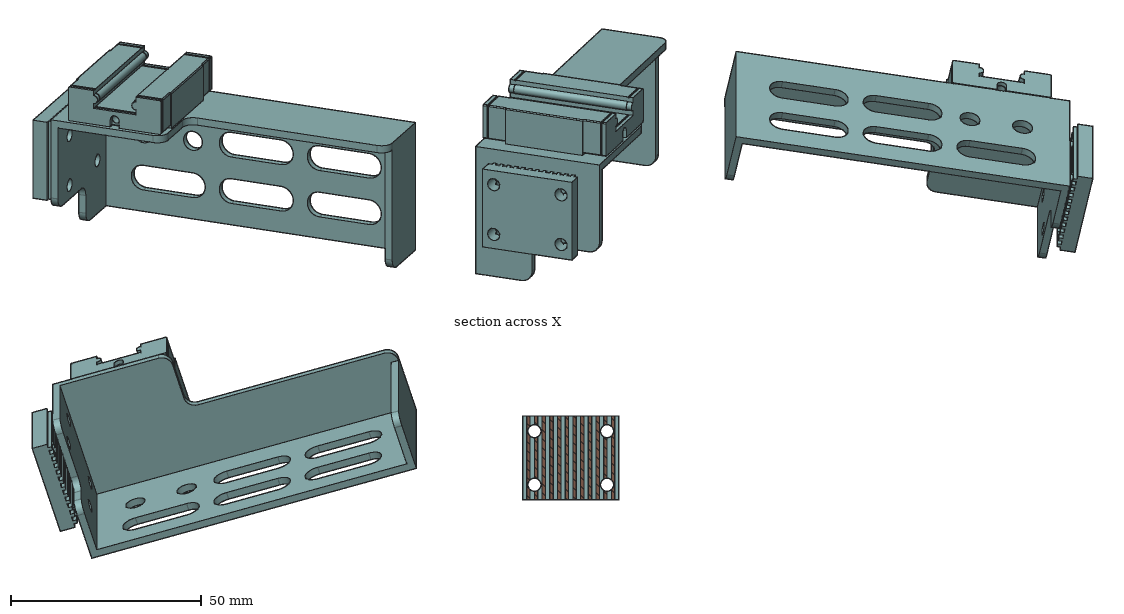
import cadquery as cq


sheet = 2.0
bracket_length = 89.1
bracket_depth = 35.0
bracket_height = 36.0
corner_radius = 3.0
carriage_shelf_length = 32.0
narrow_shelf_depth = 19.0
flange_drop = 25.0
leg_depth = 16.0

slot_length = 21.0
slot_height = 6.9
slot_pitch = 25.0
first_slot_x = 19.6
lower_slot_z = 9.5
upper_slot_z = 22.6
lower_slot_count = 3
upper_slot_count = 2

wall_hole_diameter = 5.3
wall_hole_pitch = 14.0
first_wall_hole_x = 12.6
wall_hole_z = 22.0

clamp_gap = 2.1
clamp_thickness = 4.0
tooth_height = 1.0
tooth_width = 1.0
tooth_pitch = 2.0
tooth_count = 12
clamp_width = 25.2
clamp_height = 22.0
clamp_hole_diameter = 3.4
clamp_hole_pitch_y = 19.0
clamp_hole_pitch_z = 14.0

carriage_x = 18.1
carriage_width = 27.0
carriage_height = 10.0
carriage_length = 34.7
block_length = 21.8
edge_chamfer = 0.3
relief_width = 13.3
relief_depth = 0.3
cap_width = 26.4
cap_ground_gap = 0.5
seal_thickness = 1.2
groove_width = 0.3
groove_depth = 0.2
channel_width = 12.0
channel_depth = 5.0
bead_diameter = 2.5
seal_bead_diameter = 2.3
bead_drop = 2.5
port_width = 2.5
port_hole_diameter = 2.3
port_drop = 7.5

mid_y = bracket_depth / 2
clamp_mid_z = bracket_height - flange_drop + clamp_height / 2
carriage_top = bracket_height + carriage_height


def block(x0, x1, y0, y1, z0, z1):
    """Box between opposite corners."""
    return cq.Workplane("XY").box(x1 - x0, y1 - y0, z1 - z0, centered=False).translate((x0, y0, z0))


def prism_y(x, y0, y1, z, outline):
    """Extrude a closed outline, drawn in XZ around (x, z), from y0 to y1."""
    plane = cq.Plane(origin=(x, y0, z), xDir=(1, 0, 0), normal=(0, -1, 0))
    return outline(cq.Workplane(plane)).extrude(y0 - y1)


def rod_y(x, y0, y1, z, diameter):
    return prism_y(x, y0, y1, z, lambda plane: plane.circle(diameter / 2))


def slot_y(x, y0, y1, z):
    return prism_y(x, y0, y1, z, lambda plane: plane.slot2D(slot_length, slot_height))


def clamp_screw_holes(x0, x1):
    """Four screw holes along X, shared by the clamp plate and the left flange."""
    return (
        cq.Workplane("YZ", origin=(x0, mid_y, clamp_mid_z))
        .rect(clamp_hole_pitch_y, clamp_hole_pitch_z, forConstruction=True)
        .vertices()
        .circle(clamp_hole_diameter / 2)
        .extrude(x1 - x0)
    )


def rounded_corner_sheet(plane, points, rounded_points):
    """Sheet of the given outline with its corners at rounded_points filleted."""
    sheet_body = plane.polyline(points).close().extrude(sheet)
    normal = plane.plane.zDir
    for corner in rounded_points:
        middle = plane.plane.toWorldCoords(corner) + normal * (sheet / 2)
        corner_edge = cq.selectors.NearestToPointSelector(middle.toTuple())
        sheet_body = sheet_body.edges(corner_edge).fillet(corner_radius)
    return sheet_body


def top_sheet():
    narrow_y = bracket_depth - narrow_shelf_depth
    shelf_corner = (carriage_shelf_length, 0)
    step_corner = (carriage_shelf_length, narrow_y)
    end_corner = (bracket_length, narrow_y)
    outline = [(0, 0), shelf_corner, step_corner, end_corner,
               (bracket_length, bracket_depth), (0, bracket_depth)]
    plane = cq.Workplane("XY", origin=(0, 0, bracket_height - sheet))
    return rounded_corner_sheet(plane, outline, [shelf_corner, step_corner, end_corner])


def left_flange():
    leg_y = bracket_depth - leg_depth
    step_z = bracket_height - flange_drop
    front_corner = (0, step_z)
    step_corner = (leg_y, step_z)
    foot_corner = (leg_y, 0)
    outline = [(0, bracket_height), front_corner, step_corner, foot_corner,
               (bracket_depth, 0), (bracket_depth, bracket_height)]
    flange = rounded_corner_sheet(cq.Workplane("YZ"), outline, [front_corner, step_corner, foot_corner])
    return flange.cut(clamp_screw_holes(0, sheet))


def right_flange():
    leg_y = bracket_depth - leg_depth
    foot_corner = (leg_y, 0)
    outline = [(leg_y, bracket_height - sheet), foot_corner,
               (bracket_depth, 0), (bracket_depth, bracket_height - sheet)]
    plane = cq.Workplane("YZ", origin=(bracket_length - sheet, 0, 0))
    return rounded_corner_sheet(plane, outline, [foot_corner])


def back_wall():
    front_y = bracket_depth - sheet
    wall = block(0, bracket_length, front_y, bracket_depth, 0, bracket_height)

    slot_xs = [first_slot_x + i * slot_pitch for i in range(lower_slot_count)]
    slots = [(x, lower_slot_z) for x in slot_xs]
    slots += [(x, upper_slot_z) for x in slot_xs[-upper_slot_count:]]
    for x, z in slots:
        wall = wall.cut(slot_y(x, front_y, bracket_depth, z))

    for x in (first_wall_hole_x, first_wall_hole_x + wall_hole_pitch):
        wall = wall.cut(rod_y(x, front_y, bracket_depth, wall_hole_z, wall_hole_diameter))
    return wall


def rail_channel(y0, y1, depth, bead):
    """Cutter for the rail channel, leaving a half-round bead along each wall."""
    half = channel_width / 2
    channel = block(carriage_x - half, carriage_x + half, y0, y1, carriage_top - depth, carriage_top)
    for side in (-1, 1):
        channel = channel.cut(rod_y(carriage_x + side * half, y0, y1, carriage_top - bead_drop, bead))
    return channel


def carriage_block():
    y0 = mid_y - block_length / 2
    y1 = mid_y + block_length / 2
    half = carriage_width / 2
    body = block(carriage_x - half, carriage_x + half, y0, y1, bracket_height, carriage_top)
    body = body.edges("|Y and >Z").chamfer(edge_chamfer)
    relief_half = relief_width / 2
    relief = block(carriage_x - relief_half, carriage_x + relief_half, y0, y1,
                   bracket_height, bracket_height + relief_depth)
    return body.cut(relief).cut(rail_channel(y0, y1, channel_depth, bead_diameter))


def cap_section(y0, y1, inset, bead):
    """Slice of an end cap with the rail channel, shrunk all round by inset."""
    half = cap_width / 2 - inset
    section = block(carriage_x - half, carriage_x + half, y0, y1,
                    bracket_height + cap_ground_gap + inset, carriage_top - inset)
    section = section.edges("|Y").chamfer(edge_chamfer)
    return section.cut(rail_channel(y0, y1, channel_depth + inset, bead))


def front_end_cap():
    """Front end cap: seal, narrow seam groove and cap body, with the grease port."""
    seal_y = mid_y - carriage_length / 2
    groove_y = seal_y + seal_thickness
    cap_y = groove_y + groove_width
    block_y = mid_y - block_length / 2
    seal = cap_section(seal_y, groove_y, 0, seal_bead_diameter)
    neck = cap_section(groove_y, cap_y, groove_depth, seal_bead_diameter)
    cap = cap_section(cap_y, block_y, 0, bead_diameter)
    return cap.union(neck).union(seal).cut(grease_port(seal_y, groove_y, block_y))


def grease_port(seal_y, groove_y, block_y):
    """Cutter for an arched notch in the seal and a round hole behind it in the cap."""
    port_z = carriage_top - port_drop
    half = port_width / 2
    arch = rod_y(carriage_x, seal_y, groove_y, port_z, port_width)
    throat = block(carriage_x - half, carriage_x + half, seal_y, groove_y, bracket_height, port_z)
    hole = rod_y(carriage_x, groove_y, block_y, port_z, port_hole_diameter)
    return arch.union(throat).union(hole)


def carriage_bracket():
    """Bracket and carriage as one solid body."""
    bracket = back_wall().union(top_sheet()).union(left_flange()).union(right_flange())
    front_cap = front_end_cap()
    rear_cap = front_cap.mirror("XZ", (0, mid_y, 0))
    carriage = carriage_block().union(front_cap).union(rear_cap)
    return bracket.union(carriage)


def clamp_plate():
    """Toothed plate standing off the left flange."""
    tooth_tip_x = -clamp_gap
    tooth_root_x = tooth_tip_x - tooth_height
    outer_x = tooth_root_x - clamp_thickness
    half_width = clamp_width / 2
    z0 = clamp_mid_z - clamp_height / 2
    z1 = clamp_mid_z + clamp_height / 2
    plate = block(outer_x, tooth_root_x, mid_y - half_width, mid_y + half_width, z0, z1)

    first_tooth_y = mid_y - tooth_pitch * (tooth_count - 1) / 2
    for i in range(tooth_count):
        tooth_y = first_tooth_y + i * tooth_pitch
        plate = plate.union(
            block(tooth_root_x, tooth_tip_x, tooth_y - tooth_width / 2, tooth_y + tooth_width / 2, z0, z1)
        )
    return plate.cut(clamp_screw_holes(outer_x, tooth_tip_x))


bracket_body = carriage_bracket()
clamp_body = clamp_plate()

result = cq.Compound.makeCompound([bracket_body.val(), clamp_body.val()])